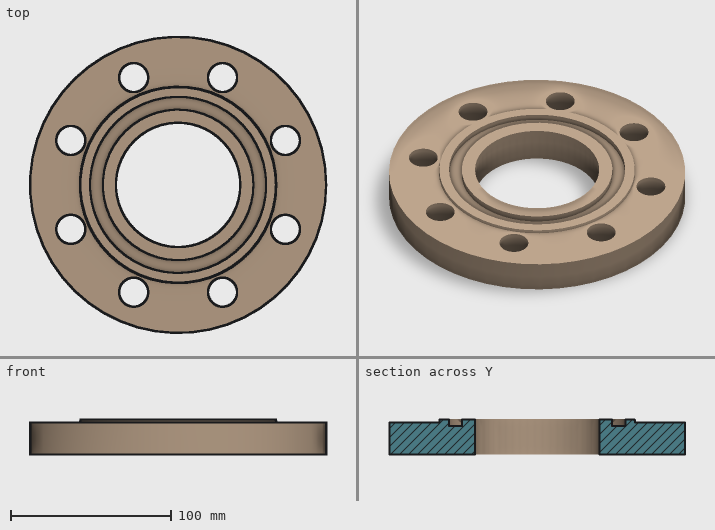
import cadquery as cq
import math

flange_diameter = 185.0
overall_height = 22.0
bore_diameter = 77.5

raised_face_diameter = 122.0
raised_face_height = 2.0
raised_face_taper_angle = 10.0
groove_outer_diameter = 110.0
groove_inner_diameter = 94.0
groove_depth = 4.0

bolt_count = 8
bolt_hole_diameter = 18.0
bolt_circle_diameter = 145.0

disc_height = overall_height - raised_face_height
raised_face_rim_run = raised_face_height * math.tan(math.radians(raised_face_taper_angle))
raised_face_base_diameter = raised_face_diameter + 2 * raised_face_rim_run
full_turn = 360.0
bolt_pitch_angle = full_turn / bolt_count


def make_flange_body():
    """Disc with the raised face on top, its rim narrowing upwards."""
    disc = cq.Workplane("XY").circle(flange_diameter / 2).extrude(disc_height)
    raised_face = (
        cq.Workplane("XY", origin=(0, 0, disc_height))
        .circle(raised_face_base_diameter / 2)
        .extrude(raised_face_height, taper=raised_face_taper_angle)
    )
    return disc.union(raised_face)


def make_bore():
    return cq.Workplane("XY").circle(bore_diameter / 2).extrude(overall_height)


def make_groove():
    """Ring removed from the raised face."""
    return (
        cq.Workplane("XY", origin=(0, 0, overall_height - groove_depth))
        .circle(groove_outer_diameter / 2)
        .circle(groove_inner_diameter / 2)
        .extrude(groove_depth)
    )


def make_bolt_holes():
    return (
        cq.Workplane("XY")
        .polarArray(bolt_circle_diameter / 2, bolt_pitch_angle / 2, full_turn, bolt_count)
        .circle(bolt_hole_diameter / 2)
        .extrude(disc_height)
    )


result = make_flange_body().cut(make_bore()).cut(make_groove()).cut(make_bolt_holes())